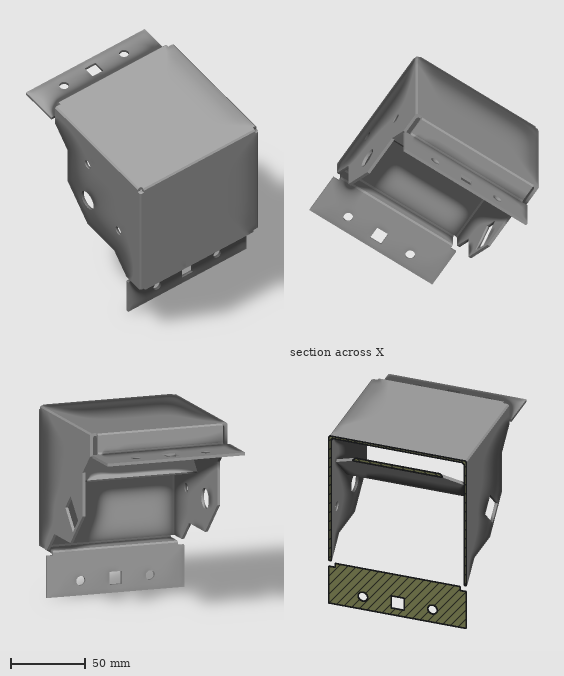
import cadquery as cq
import math


box = 100.0
width = 99.0
sheet = 2.0
bend = 1.1
corner_relief = sheet + bend

step = 16.0
flange_end = 130.0
notch_depth = 4.5
flange_hole_diameter = 6.5
flange_hole_spacing = 50.0
square_hole = 9.0
flange_hole_inset = 10.0

wall_reach = box - sheet - bend
shoulder = 83.0
clipped = 60.0
large_hole_diameter = 14.0
large_hole_place = 60.0
slot_width = 14.0
slot_length = 20.0
slot_start = 78.5
small_hole_diameter = 6.5
small_hole_near = 25.0
small_hole_far = 60.0

web_end = 45.0
web_chamfer_length = 30.0
web_chamfer_width = 37.5

root2 = math.sqrt(2)
center_y = width / 2


def symmetric_outline(upper_half):
    """Add to the upper half of an outline its mirror image across the box's diagonal."""
    return upper_half + [(top, back) for back, top in reversed(upper_half)]


def prism(outline, y_start, y_end):
    """Extrude along Y an outline of (back, top) points."""
    points = [(-back, -top) for back, top in outline]
    plane = cq.Workplane("XZ", origin=(0, y_start, 0))
    return plane.polyline(points).close().extrude(y_start - y_end)


def cylinder_y(diameter, back, top, y_start, y_end):
    plane = cq.Workplane("XZ", origin=(-back, y_start, -top))
    return plane.circle(diameter / 2).extrude(y_start - y_end)


def flip(body):
    """Mirror a body across the box's diagonal plane, swapping back and top."""
    return body.rotate((0, 0, 0), (1, 0, 1), 180).mirror("XZ")


def bevel_edges(body, points):
    """Bevel the edge whose middle is nearest to each point."""
    for point in points:
        body = body.edges(cq.selectors.NearestToPointSelector(point)).chamfer(bend)
    return body


def folded_strip():
    """Top plate, back plate and both stepped flanges, bent from one strip."""
    flange_top = step - sheet
    step_inside = box - sheet
    upper_outer = [(flange_end, flange_top), (box, flange_top), (box, 0), (0, 0)]
    upper_inner = [(sheet, sheet), (step_inside, sheet), (step_inside, step), (flange_end, step)]
    lower_outer = [(top, back) for back, top in reversed(upper_outer[:-1])]
    lower_inner = [(top, back) for back, top in reversed(upper_inner[1:])]
    strip = prism(upper_outer + lower_outer + lower_inner + upper_inner, 0, width)
    upper_folds = upper_outer[1:3] + upper_inner[1:3]
    lower_folds = lower_outer[:2] + lower_inner[1:3]
    folds = [(0, 0), (sheet, sheet)] + upper_folds + lower_folds
    return bevel_edges(strip, [(-back, center_y, -top) for back, top in folds])


def side_wall(y_start):
    drop = wall_reach - shoulder
    upper = [(wall_reach, 0), (wall_reach, step), (shoulder, step + drop), (shoulder, clipped)]
    return prism([(0, 0)] + symmetric_outline(upper), y_start, y_start + sheet)


def step_notch(y_start):
    """Relief beside the upper flange's step."""
    near, far = wall_reach, box + bend
    outline = [(near, 0), (far, 0), (far, step), (near, step)]
    return prism(outline, y_start, y_start + notch_depth)


def flange_holes():
    """Two round holes and a square one through the upper flange."""
    row = cq.Workplane("XY", origin=(flange_hole_inset - flange_end, center_y, -step))
    rounds = row.rarray(1, flange_hole_spacing, 1, 2).circle(flange_hole_diameter / 2)
    return rounds.extrude(sheet).union(row.rect(square_hole, square_hole).extrude(sheet))


def wall_holes():
    """Three round holes of the -Y wall."""
    holes = cylinder_y(large_hole_diameter, large_hole_place, large_hole_place, 0, sheet)
    for back, top in [(small_hole_near, small_hole_far), (small_hole_far, small_hole_near)]:
        holes = holes.union(cylinder_y(small_hole_diameter, back, top, 0, sheet))
    return holes


def wall_slot():
    """Rectangular slot of the +Y wall, with its long sides along the diagonal."""
    centre = (slot_start + slot_length / 2) / root2
    plane = cq.Workplane("XZ", origin=(-centre, width, -centre))
    return plane.transformed(rotate=(0, 0, 45)).rect(slot_length, slot_width).extrude(sheet)


def corner_cut(y_start):
    """Relief where the top plate, back plate and a side wall meet."""
    size = corner_relief
    return prism([(0, 0), (size, 0), (size, size), (0, size)], y_start, y_start + size)


def wall_bends(housing):
    """Bevel both sides of the bends that join the walls to the top and back plates."""
    middle = -box / 2
    for depth in (0, sheet):
        for y in (depth, width - depth):
            housing = bevel_edges(housing, [(middle, y, -depth), (-depth, y, middle)])
    return housing


def build_housing():
    housing = folded_strip()
    for y_start in (0, width - sheet):
        housing = housing.union(side_wall(y_start))
    for y_start in (0, width - notch_depth):
        notch = step_notch(y_start)
        housing = housing.cut(notch).cut(flip(notch))
    for y_start in (0, width - corner_relief):
        housing = housing.cut(corner_cut(y_start))
    housing = wall_bends(housing)
    holes = flange_holes()
    return housing.cut(holes).cut(flip(holes)).cut(wall_holes()).cut(wall_slot())


def build_web():
    """Flat web on the diagonal plane, with its inner corners cut off."""
    start = sheet * root2 + sheet / 2
    end = web_end * root2
    half_width = center_y - sheet
    narrow = half_width - web_chamfer_width
    wide = start + web_chamfer_length
    outline = [(start, narrow), (wide, half_width), (end, half_width)]
    outline += [(along, -across) for along, across in reversed(outline)]
    along = cq.Vector(-1, 0, -1)
    plane = cq.Plane(origin=(0, center_y, 0), xDir=along, normal=(-1, 0, 1))
    return cq.Workplane(plane).polyline(outline).close().extrude(sheet / 2, both=True)


housing = build_housing()
web = build_web()
result = cq.Compound.makeCompound([housing.solids().val(), web.solids().val()])